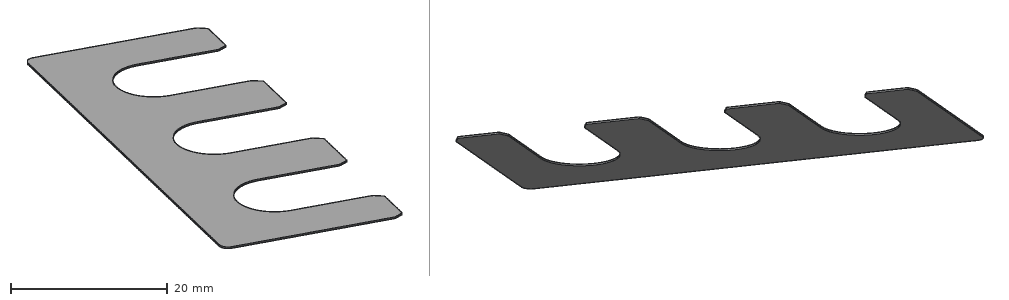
import cadquery as cq

length = 63.5
depth = 25.4
thickness = 0.25
corner_radius = 1.3

slot_count = 3
slot_pitch = 19.3
slot_width = 10.5
slot_depth = 18.0

tip_inset = 0.75
tip_height = 1.35

back_y = depth / 2
slot_radius = slot_width / 2
slot_end_y = back_y - slot_depth + slot_radius
slot_centers = [(i - (slot_count - 1) / 2) * slot_pitch for i in range(slot_count)]


def make_plate():
    """Flat plate with its two front corners rounded."""
    plate = cq.Workplane("XY").box(length, depth, thickness)
    return plate.edges("|Z and <Y").fillet(corner_radius)


def make_slot(center_x):
    """Cutter for one slot, round at the front and open at the back."""
    return (
        cq.Workplane("XY", origin=(center_x, 0, -thickness / 2))
        .moveTo(-slot_radius, back_y)
        .lineTo(-slot_radius, slot_end_y)
        .threePointArc((0, slot_end_y - slot_radius), (slot_radius, slot_end_y))
        .lineTo(slot_radius, back_y)
        .close()
        .extrude(thickness)
    )


def make_tip_cut(side_x, inward):
    """Cutter for one tip corner; inward (+1 or -1) is the X direction into the finger."""
    return (
        cq.Workplane("XY", origin=(side_x, back_y, -thickness / 2))
        .polyline([(0, 0), (inward * tip_inset, 0), (0, -tip_height)])
        .close()
        .extrude(thickness)
    )


result = make_plate()
for center in slot_centers:
    result = result.cut(make_slot(center))

finger_left_sides = [-length / 2] + [center + slot_radius for center in slot_centers]
finger_right_sides = [center - slot_radius for center in slot_centers] + [length / 2]
for left_x, right_x in zip(finger_left_sides, finger_right_sides):
    result = result.cut(make_tip_cut(left_x, 1))
    result = result.cut(make_tip_cut(right_x, -1))